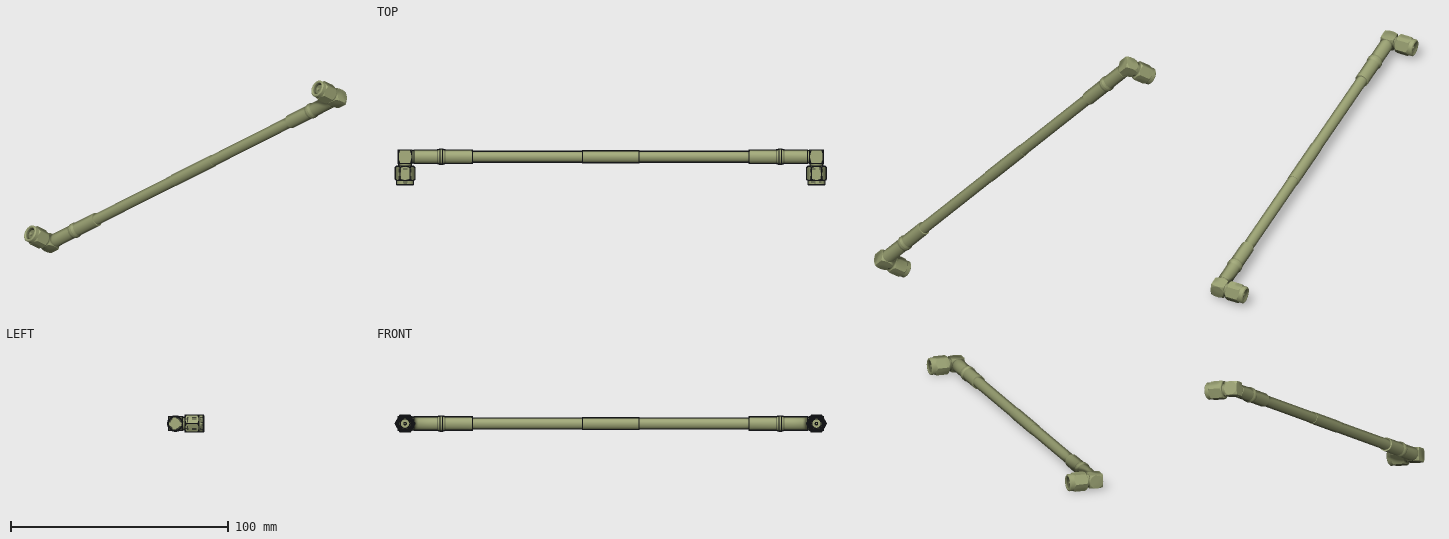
import cadquery as cq
import math

total_length = 198.7

nut_flats = 8.0
nut_corners = nut_flats / math.cos(math.pi / 6)
nut_back_y = -4.4
hex_front_y = -11.0
nut_front_y = -13.1
nut_tip_radius = nut_flats / 2
nut_tip_chamfer = 0.4
nut_bore_radius = 2.8
nut_mouth_chamfer = 0.4
nut_wall = 1.2

plug_x = (total_length - nut_corners) / 2
block_side = 6.4
block_disc_radius = block_side / 2
block_chamfer_angle = math.radians(30)
neck_radius = 3.0
post_radius = 2.2
post_front_y = -11.7
pin_radius = 0.5
pin_front_y = -12.5

sleeve_outer_x = 90.6
sleeve_inner_x = 63.8
sleeve_radius = 3.2
ring_x = 78.0
ring_radius = 3.5
ring_width = 1.2
ring_base_width = 3.5

cable_radius = 2.5
label_radius = 2.8
label_length = 25.8


def bar_along_y(radius, start_y, end_y):
    """Round bar centred on the plug axis, running toward -Y."""
    plane = cq.Workplane("XZ", origin=(0, start_y, 0))
    return plane.circle(radius).extrude(start_y - end_y)


def make_nut():
    """Hexagonal coupling nut with a round tip, centred on the plug axis."""
    hexagon = (
        cq.Workplane("XZ", origin=(0, nut_back_y, 0))
        .polygon(6, nut_corners)
        .extrude(nut_back_y - hex_front_y)
    )
    corner_radius = nut_corners / 2
    corner_drop = corner_radius - nut_tip_radius
    blank = (
        cq.Workplane("XY")
        .moveTo(0, nut_back_y)
        .lineTo(nut_tip_radius, nut_back_y)
        .lineTo(corner_radius, nut_back_y - corner_drop)
        .lineTo(corner_radius, hex_front_y + corner_drop)
        .lineTo(nut_tip_radius, hex_front_y)
        .lineTo(0, hex_front_y)
        .close()
        .revolve(360, (0, 0), (0, 1))
    )
    tip = bar_along_y(nut_tip_radius, hex_front_y, nut_front_y).faces("<Y").chamfer(nut_tip_chamfer)
    bore = bar_along_y(nut_bore_radius, nut_back_y - nut_wall, nut_front_y)
    mouth_radius = nut_bore_radius + nut_mouth_chamfer
    mouth = cq.Workplane(
        cq.Solid.makeCone(
            mouth_radius,
            nut_bore_radius,
            nut_mouth_chamfer,
            pnt=cq.Vector(0, nut_front_y, 0),
            dir=cq.Vector(0, 1, 0),
        )
    )
    post_hole = bar_along_y(post_radius, nut_back_y, nut_front_y)
    return hexagon.intersect(blank).union(tip).cut(bore).cut(mouth).cut(post_hole)


def make_elbow_block():
    """Cube whose X ends are turned down to round discs."""
    half = block_side / 2
    corner_radius = half * math.sqrt(2)
    end_drop = (corner_radius - block_disc_radius) * math.tan(block_chamfer_angle)
    turned = (
        cq.Workplane("XZ")
        .moveTo(-half, 0)
        .lineTo(-half, block_disc_radius)
        .lineTo(end_drop - half, corner_radius)
        .lineTo(half - end_drop, corner_radius)
        .lineTo(half, block_disc_radius)
        .lineTo(half, 0)
        .close()
        .revolve(360, (0, 0), (1, 0))
    )
    return cq.Workplane("XY").box(block_side, block_side, block_side).intersect(turned)


def make_sleeve():
    """Neck, crimp sleeve and raised ring of the left connector, in place on the cable axis."""
    return (
        cq.Workplane("XZ")
        .moveTo(-plug_x, 0)
        .lineTo(-plug_x, neck_radius)
        .lineTo(-sleeve_outer_x, neck_radius)
        .lineTo(-sleeve_outer_x, sleeve_radius)
        .lineTo(-ring_x - ring_base_width / 2, sleeve_radius)
        .lineTo(-ring_x - ring_width / 2, ring_radius)
        .lineTo(-ring_x + ring_width / 2, ring_radius)
        .lineTo(-ring_x + ring_base_width / 2, sleeve_radius)
        .lineTo(-sleeve_inner_x, sleeve_radius)
        .lineTo(-sleeve_inner_x, 0)
        .close()
        .revolve(360, (0, 0), (1, 0))
    )


def make_left_connector():
    """Right-angle plug without its nut: block, post, pin and crimp sleeve."""
    plug = (
        make_elbow_block()
        .union(bar_along_y(neck_radius, 0, nut_back_y))
        .union(bar_along_y(post_radius, nut_back_y, post_front_y))
        .union(bar_along_y(pin_radius, post_front_y, pin_front_y))
    )
    return plug.translate((-plug_x, 0, 0)).union(make_sleeve())


def make_cable():
    """Cable between the two sleeves, with the thicker label band at its middle."""
    label_end = label_length / 2
    return (
        cq.Workplane("XZ")
        .moveTo(-sleeve_inner_x, 0)
        .lineTo(-sleeve_inner_x, cable_radius)
        .lineTo(-label_end, cable_radius)
        .lineTo(-label_end, label_radius)
        .lineTo(label_end, label_radius)
        .lineTo(label_end, cable_radius)
        .lineTo(sleeve_inner_x, cable_radius)
        .lineTo(sleeve_inner_x, 0)
        .close()
        .revolve(360, (0, 0), (1, 0))
    )


cable = make_cable()
left_connector = make_left_connector()
connectors = [left_connector, left_connector.mirror("YZ")]
nuts = [make_nut().translate((side * plug_x, 0, 0)) for side in (-1, 1)]

bodies = [cable, *connectors, *nuts]
result = cq.Compound.makeCompound([body.val() for body in bodies])